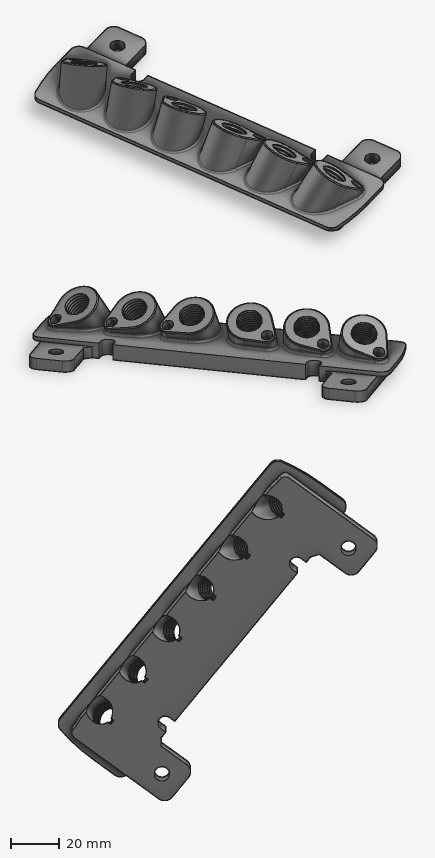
import cadquery as cq
import math

width = 154.0
flange_depth = 37.1
flange_thickness = 1.8
flange_corner_radius = 4.0
side_bend_y = 21.4
side_radius = 81.6

overall_depth = 56.8
base_thickness = 5.0
base_half_width = 72.7
base_front_y = 5.5
base_step_y = 6.0
step_outer_x = 68.2
step_inner_x = 64.5
base_corner_radius = 2.6
ear_width = 19.1
ear_corner_radius = 4.0
ear_hole_diameter = 6.3
ear_hole_y = 47.1
gusset_width = 3.1
gusset_height = 2.2

notch_x = 44.5
notch_width = 6.0
notch_end_y = 31.4

overall_height = 22.0
tubes_per_side = 3
tube_pitch = 24.8
tube_radius = 9.5
face_centre_y = 20.3
lean_back = 0.68
focal_depth = 189.4
rim_chamfer = 0.5
foot_fillet = 1.0

lug_radius = 3.7
lug_hole_diameter = 4.8
lug_out = 9.2
lug_back = 5.5
lug_hole_depth = 9.2

bore_diameter = 10.6
thread_diameter = 12.2
thread_pitch = 1.5
thread_turns = 7

relief_pitch = 23.1
relief_width = 2.2
relief_height = 1.4
relief_end_y = 17.0

flange_top = base_thickness + flange_thickness
long_reach = 61.6


def mirrored(points):
    """Close a right-hand outline with its mirror image in the YZ plane."""
    return points + [(-x, y) for x, y in reversed(points)]


def make_base():
    ear_inner_x = base_half_width - ear_width
    right_half = [
        (step_inner_x, base_front_y),
        (step_outer_x, base_step_y),
        (base_half_width, base_step_y),
        (base_half_width, overall_depth),
        (ear_inner_x, overall_depth),
        (ear_inner_x, flange_depth + gusset_height),
        (ear_inner_x - gusset_width, flange_depth),
    ]
    base = cq.Workplane("XY").polyline(mirrored(right_half)).close().extrude(base_thickness)
    base = base.edges("|Z and >Y").fillet(ear_corner_radius)
    base = base.edges("|Z and (<X or >X)").edges("<Y").fillet(base_corner_radius)
    holes = (
        cq.Workplane("XY")
        .pushPoints([(side * (base_half_width - ear_width / 2), ear_hole_y) for side in (-1, 1)])
        .circle(ear_hole_diameter / 2)
        .extrude(base_thickness)
    )
    return base.cut(holes)


def make_flange():
    def side_x(y):
        return width / 2 - side_radius + math.sqrt(side_radius**2 - (side_bend_y - y) ** 2)

    front_x = side_x(0)
    middle = (side_x(side_bend_y / 2), side_bend_y / 2)
    flange = (
        cq.Workplane("XY", origin=(0, 0, base_thickness))
        .moveTo(-front_x, 0)
        .lineTo(front_x, 0)
        .threePointArc(middle, (width / 2, side_bend_y))
        .lineTo(width / 2, flange_depth)
        .lineTo(-width / 2, flange_depth)
        .lineTo(-width / 2, side_bend_y)
        .threePointArc((-middle[0], middle[1]), (-front_x, 0))
        .close()
        .extrude(flange_thickness)
    )
    return flange.edges("|Z and (<Y or >Y)").fillet(flange_corner_radius)


def make_notches():
    """Round-ended slots that run out through the back edge of the flange and base."""
    radius = notch_width / 2
    centre_y = notch_end_y + radius
    length = flange_depth - centre_y
    ends = (
        cq.Workplane("XY")
        .pushPoints([(-notch_x, centre_y), (notch_x, centre_y)])
        .circle(radius)
        .extrude(flange_top)
    )
    mouths = (
        cq.Workplane("XY")
        .pushPoints([(x, centre_y + length / 2) for x in (-notch_x, notch_x)])
        .rect(notch_width, length)
        .extrude(flange_top)
    )
    return ends.union(mouths)


def tube_face(side, index):
    """Plane of a tube's top face: local X points to the lug, the normal runs up the axis."""
    x = side * (index + 0.5) * tube_pitch
    axis = cq.Vector(x / focal_depth, lean_back, 1).normalized()
    rim_rise = (tube_radius - rim_chamfer) * math.sqrt(1 - axis.z**2)
    across = cq.Vector(0, 1, 0).cross(axis).normalized()
    centre = cq.Vector(x, face_centre_y, overall_height - rim_rise)
    return cq.Plane(origin=centre, xDir=across, normal=axis)


def tube_outline(plane, side):
    """Tube circle and lug circle joined by their two outer tangents."""
    lug_x = side * lug_out
    spacing = math.hypot(lug_x, lug_back)
    heading = math.atan2(lug_back, lug_x)
    spread = math.acos((tube_radius - lug_radius) / spacing)

    def on_circle(centre, radius, angle):
        return (centre[0] + radius * math.cos(angle), centre[1] + radius * math.sin(angle))

    tube = (0, 0)
    lug = (lug_x, lug_back)
    return (
        cq.Workplane(plane)
        .moveTo(*on_circle(tube, tube_radius, heading + spread))
        .threePointArc(
            on_circle(tube, tube_radius, heading + math.pi),
            on_circle(tube, tube_radius, heading - spread),
        )
        .lineTo(*on_circle(lug, lug_radius, heading - spread))
        .threePointArc(
            on_circle(lug, lug_radius, heading),
            on_circle(lug, lug_radius, heading + spread),
        )
        .close()
    )


def add_tube(flange, plane, side):
    """Flange with one tube standing on it, its rim chamfered and its foot filleted."""
    tube = tube_outline(plane, side).extrude(-long_reach)
    rim = cq.selectors.DirectionMinMaxSelector(plane.zDir, True)
    tube = tube.faces(rim).chamfer(rim_chamfer)
    above_base = (
        cq.Workplane("XY", origin=(0, 0, flange_top - flange_thickness / 2))
        .rect(2 * width, 2 * width)
        .extrude(long_reach)
    )
    joined = flange.union(tube.intersect(above_base))
    foot = joined.faces("|Z").faces(">Z").val().innerWires()[0]
    return joined.newObject(foot.Edges()).fillet(foot_fillet)


def make_bore(plane):
    """Through bore with its thread cut as a stack of V-shaped rings."""
    minor = bore_diameter / 2
    major = thread_diameter / 2
    profile = [(0, thread_pitch), (minor, thread_pitch), (minor, 0)]
    for turn in range(thread_turns):
        start = -turn * thread_pitch
        profile += [(major, start - thread_pitch / 2), (minor, start - thread_pitch)]
    profile += [(minor, -long_reach), (0, -long_reach)]
    return (
        cq.Workplane(cq.Plane(origin=plane.origin, xDir=plane.xDir, normal=-plane.yDir))
        .polyline(profile)
        .close()
        .revolve(360, (0, 0, 0), (0, 1, 0))
    )


def make_lug_hole(plane, side):
    return (
        cq.Workplane(plane)
        .center(side * lug_out, lug_back)
        .circle(lug_hole_diameter / 2)
        .extrude(-lug_hole_depth)
    )


def make_relief(plane, side, index):
    """Slot in the underside, from the middle of the bore's lower mouth toward the back."""
    mouth_y = face_centre_y - lean_back * plane.origin.z
    return (
        cq.Workplane("XY")
        .center(side * (index + 0.5) * relief_pitch, (mouth_y + relief_end_y) / 2)
        .rect(relief_width, relief_end_y - mouth_y)
        .extrude(relief_height)
    )


flange = make_flange()
body = make_base().union(flange)
tubes = [
    (tube_face(side, index), side, index)
    for side in (-1, 1)
    for index in range(tubes_per_side)
]
for face, side, index in tubes:
    body = body.union(add_tube(flange, face, side))
for face, side, index in tubes:
    body = body.cut(make_bore(face))
    body = body.cut(make_lug_hole(face, side))
    body = body.cut(make_relief(face, side, index))
result = body.cut(make_notches())